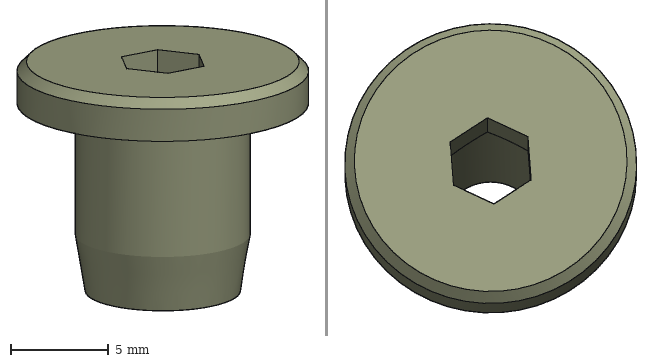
import cadquery as cq
import math

head_diameter = 15.0
head_thickness = 2.2
head_chamfer = 0.5

shank_diameter = 9.0
tip_diameter = 8.0
tip_length = 3.0
total_height = 12.2

socket_sides = 6
socket_across_flats = 4.0
bore_diameter = 5.0
drill_point_angle = 118.0
drill_shoulder_depth = 2.67

head_bottom = total_height - head_thickness
socket_across_corners = socket_across_flats / math.cos(math.pi / socket_sides)
drill_shoulder = total_height - drill_shoulder_depth
drill_point_height = bore_diameter / 2 / math.tan(math.radians(drill_point_angle / 2))


def make_body():
    """Revolve the half profile of the head, shank and tip around Z."""
    head_radius = head_diameter / 2
    shank_radius = shank_diameter / 2
    profile = (
        cq.Workplane("XZ")
        .moveTo(0, 0)
        .lineTo(tip_diameter / 2, 0)
        .lineTo(shank_radius, tip_length)
        .lineTo(shank_radius, head_bottom)
        .lineTo(head_radius, head_bottom)
        .lineTo(head_radius, total_height - head_chamfer)
        .lineTo(head_radius - head_chamfer, total_height)
        .lineTo(0, total_height)
        .close()
    )
    return profile.revolve(360, (0, 0, 0), (0, 1, 0))


def make_bore():
    """Round hole from the tip, ending in a conical drill point."""
    bore_radius = bore_diameter / 2
    profile = (
        cq.Workplane("XZ")
        .moveTo(0, 0)
        .lineTo(bore_radius, 0)
        .lineTo(bore_radius, drill_shoulder)
        .lineTo(0, drill_shoulder + drill_point_height)
        .close()
    )
    return profile.revolve(360, (0, 0, 0), (0, 1, 0))


def make_socket():
    """Hexagonal prism with two corners on the X axis, reaching down into the bore."""
    return (
        cq.Workplane("XY", origin=(0, 0, drill_shoulder))
        .polygon(socket_sides, socket_across_corners)
        .extrude(drill_shoulder_depth)
    )


result = make_body().cut(make_bore()).cut(make_socket())